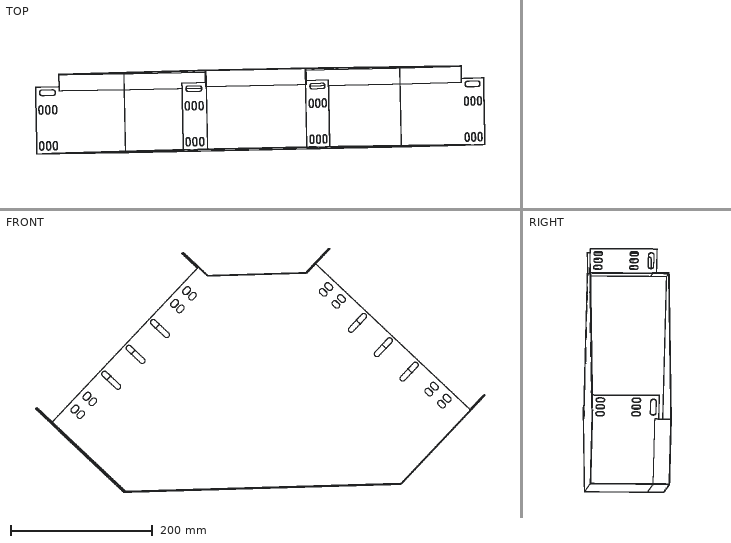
import cadquery as cq
import math

BEND_ANGLE = 45.0
DUCT_WIDTH = 301.5
DUCT_DEPTH = 112.0
SHEET = 1.0
INNER_MIDDLE = 139.5
INNER_ARM = 18.0
WALL_HEIGHT = 89.0
COVER_SETBACK = 16.5

TAB_REACH = 29.0
TAB_HEIGHT = 94.5
TAB_SLOT_LENGTH = 30.5
TAB_SLOT_DROP = 8.0
TAB_HOLE_PITCH = 13.0
TAB_HOLES_PER_ROW = 3
TAB_ROW_HEIGHTS = (11.5, 62.0)

HOLE_WIDTH = 7.5
HOLE_LENGTH = 12.0

PAIR_EDGE = 36.0
PAIR_PITCH = 25.0
PAIR_DEPTHS = (11.0, 22.0)
PLATE_SLOT_LENGTH = 33.5
PLATE_SLOT_DEPTH = 20.0
PLATE_SLOT_PITCH = 50.0

TILT_X = -0.4
TILT_Y = -1.66
TILT_Z = 1.2

COS_BEND = math.cos(math.radians(BEND_ANGLE))
SIN_BEND = math.sin(math.radians(BEND_ANGLE))
MITRE = math.tan(math.radians(BEND_ANGLE / 2))
OVERCUT = 6.5


def bend_corner(z):
    """Right-hand bend point of a wall line at height z; all lie on the mitre line."""
    return INNER_MIDDLE / 2 + (DUCT_WIDTH - z) * MITRE, z


def arm_end(z, extension):
    """End of the right-hand arm of the wall line at height z, past the plate end by extension."""
    x, _ = bend_corner(z)
    length = INNER_ARM + (DUCT_WIDTH - z) * MITRE + extension
    return x + length * COS_BEND, z + length * SIN_BEND


def elbow(extension, inset, front, back):
    """Solid elbow between two depths, its walls moved inward by inset."""
    low, high = inset, DUCT_WIDTH - inset
    right = [
        bend_corner(low),
        arm_end(low, extension),
        arm_end(high, extension),
        bend_corner(high),
    ]
    left = [(-x, z) for x, z in reversed(right)]
    profile = cq.Workplane("XZ", origin=(0, front, 0)).polyline(right + left).close()
    return profile.extrude(front - back)


def walls(extension, front, back):
    """Inner and outer side walls, open at both ends."""
    return elbow(extension, 0, front, back).cut(elbow(extension + OVERCUT, SHEET, front, back))


def end_plane():
    """Plane on the right-hand end of the front plate: x runs across the duct, y inward along it."""
    x, z = arm_end(0, 0)
    across = (-SIN_BEND, 0, COS_BEND)
    return cq.Plane(origin=(x, 0, z), xDir=across, normal=(0, -1, 0))


def both_ends(cutter):
    """Cutters for the right-hand end together with their mirror images at the left-hand end."""
    return cutter.add(cutter.mirror("YZ"))


def plate_holes():
    """Cutters for the hole pairs and long slots at both ends of the front plate."""
    near = (PAIR_EDGE, PAIR_EDGE + PAIR_PITCH)
    across = near + tuple(DUCT_WIDTH - s for s in near)
    hole_points = [(s, depth) for s in across for depth in PAIR_DEPTHS]
    slot_points = [(DUCT_WIDTH / 2 + i * PLATE_SLOT_PITCH, PLATE_SLOT_DEPTH) for i in (-1, 0, 1)]
    base = cq.Workplane(end_plane()).workplane(offset=-OVERCUT)
    holes = base.pushPoints(hole_points).slot2D(HOLE_LENGTH, HOLE_WIDTH).extrude(2 * OVERCUT)
    slots = base.pushPoints(slot_points).slot2D(PLATE_SLOT_LENGTH, HOLE_WIDTH, 90).extrude(2 * OVERCUT)
    return both_ends(holes.add(slots))


def tab_holes():
    """Cutters for the slot and hole rows in all four tabs."""
    middle = (TAB_REACH - COVER_SETBACK) / 2
    x, z = arm_end(0, 0)
    outward = (COS_BEND, 0, SIN_BEND)
    side = cq.Plane(origin=(x, 0, z), xDir=outward, normal=(-SIN_BEND, 0, COS_BEND))
    shifts = [(i - (TAB_HOLES_PER_ROW - 1) / 2) * TAB_HOLE_PITCH for i in range(TAB_HOLES_PER_ROW)]
    hole_points = [(middle + shift, y) for y in TAB_ROW_HEIGHTS for shift in shifts]
    base = cq.Workplane(side).workplane(offset=-OVERCUT)
    through = DUCT_WIDTH + 2 * OVERCUT
    holes = base.pushPoints(hole_points).slot2D(HOLE_LENGTH, HOLE_WIDTH, 90).extrude(through)
    slot = base.center(middle, TAB_HEIGHT - TAB_SLOT_DROP)
    slot = slot.slot2D(TAB_SLOT_LENGTH, HOLE_WIDTH).extrude(through)
    return both_ends(holes.add(slot))


def make_tray():
    """Front plate with side walls and tabs."""
    plate = elbow(0, 0, 0, SHEET)
    low_walls = walls(TAB_REACH, 0, WALL_HEIGHT)
    tab_tops = walls(TAB_REACH, WALL_HEIGHT, TAB_HEIGHT)
    tab_tops = tab_tops.cut(elbow(-COVER_SETBACK, 0, WALL_HEIGHT, TAB_HEIGHT))
    tray = plate.union(low_walls).union(tab_tops)
    for cutter in plate_holes().vals() + tab_holes().vals():
        tray = tray.cut(cq.Workplane(cutter))
    return tray


def make_cover():
    """Back plate with flanges that stand on the tray walls."""
    plate = elbow(-COVER_SETBACK, 0, DUCT_DEPTH - SHEET, DUCT_DEPTH)
    return plate.union(walls(-COVER_SETBACK, WALL_HEIGHT, DUCT_DEPTH))


def tilted(body):
    """Body turned about the three axes into its mounted position."""
    axes = (((1, 0, 0), TILT_X), ((0, 1, 0), TILT_Y), ((0, 0, 1), TILT_Z))
    for axis, angle in axes:
        body = body.rotate((0, 0, 0), axis, angle)
    return body


tray = tilted(make_tray())
cover = tilted(make_cover())
result = cq.Compound.makeCompound([tray.val(), cover.val()])